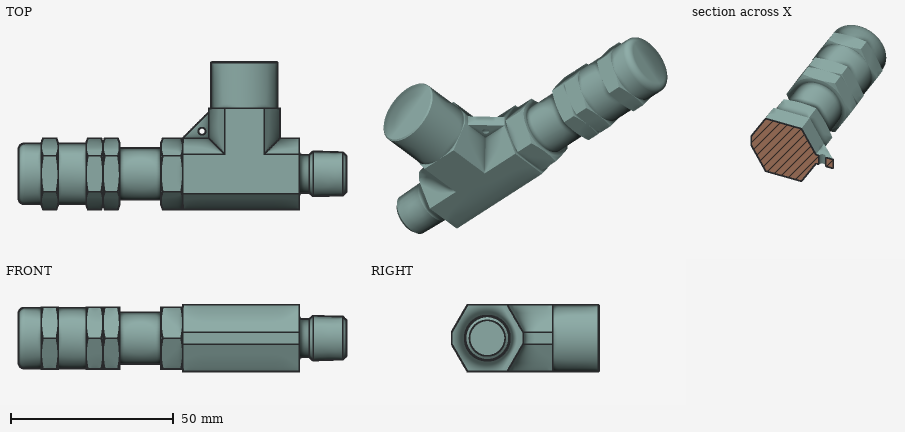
import cadquery as cq
import math


bar_height = 20.6
bar_width = 21.94
bar_flat = 12.15
run_start_x = -18.9
run_end_x = 16.9
branch_hex_end_y = 20.1

socket_diameter = bar_height
socket_end_y = 34.43
socket_chamfer = 0.4

web_hole_diameter = 2.1
web_hole_from_branch = 2.05
web_hole_from_run = 2.1

neck_diameter = 11.85
neck_fillet = 0.6
neck_length = 3.0
taper_start_diameter = 13.9
taper_ratio = 1 / 16
taper_lead_in = 1.2
taper_length = 9.1
taper_end_chamfer = 1.2

nut_across_flats = 19.0
nut_chamfer_angle = 20.0
base_nut_width = 6.7
tube_length = 12.7
tube_diameter = 16.0
lock_nut_width = 5.1
cap_nut_width = 5.2
cap_diameter = 18.8
cap_length = 26.0
cap_edge_radius = 2.0
front_nut_setback = 7.05

flank_run = (bar_width - bar_flat) / 2
side_flat_half = bar_height / 2 - flank_run * math.tan(math.radians(60))
bar_half_width = bar_width / 2
web_leg = -run_start_x - bar_half_width
base_nut_start_x = run_start_x - base_nut_width
lock_nut_end_x = base_nut_start_x - tube_length
lock_nut_start_x = lock_nut_end_x - lock_nut_width
cap_start_x = lock_nut_start_x - cap_length


def bar(plane, length):
    """Hexagonal bar with cut side corners, extruded along the plane normal."""
    half_flat = bar_flat / 2
    half_height = bar_height / 2
    outline = [
        (half_flat, half_height),
        (bar_half_width, side_flat_half),
        (bar_half_width, -side_flat_half),
        (half_flat, -half_height),
        (-half_flat, -half_height),
        (-bar_half_width, -side_flat_half),
        (-bar_half_width, side_flat_half),
        (-half_flat, half_height),
    ]
    return cq.Workplane(plane).polyline(outline).close().extrude(length)


def plane_across_x(x):
    """Plane at x, facing +X, with its own x direction along Y."""
    return cq.Plane(origin=(x, 0, 0), xDir=(0, 1, 0), normal=(1, 0, 0))


def rod(start_x, length, diameter):
    return cq.Workplane(plane_across_x(start_x)).circle(diameter / 2).extrude(length)


def nut(start_x, width):
    """Hexagon with corners on the Y axis, its corners bevelled at both ends."""
    face_radius = nut_across_flats / 2
    corner_radius = face_radius / math.cos(math.radians(30))
    bevel = (corner_radius - face_radius) * math.tan(math.radians(nut_chamfer_angle))
    end_x = start_x + width
    hexagon = cq.Workplane(plane_across_x(start_x)).polygon(6, 2 * corner_radius).extrude(width)
    envelope = (
        cq.Workplane("XY")
        .moveTo(start_x, 0)
        .lineTo(start_x, -face_radius)
        .lineTo(start_x + bevel, -corner_radius)
        .lineTo(end_x - bevel, -corner_radius)
        .lineTo(end_x, -face_radius)
        .lineTo(end_x, 0)
        .close()
        .revolve(360, (0, 0, 0), (1, 0, 0))
    )
    return hexagon.intersect(envelope)


def make_male_end():
    """Neck flared into the run, then the tapered thread cone with bevelled ends."""
    neck_radius = neck_diameter / 2
    neck_end_x = run_end_x + neck_length
    taper_start_x = neck_end_x + taper_lead_in
    taper_end_x = taper_start_x + taper_length
    taper_start_radius = taper_start_diameter / 2
    taper_end_radius = taper_start_radius - taper_length * taper_ratio / 2
    tip_x = taper_end_x + taper_end_chamfer
    flare_middle = neck_fillet * (1 - math.sqrt(0.5))
    return (
        cq.Workplane("XY")
        .moveTo(run_end_x, 0)
        .lineTo(run_end_x, -neck_radius - neck_fillet)
        .threePointArc(
            (run_end_x + flare_middle, -neck_radius - flare_middle),
            (run_end_x + neck_fillet, -neck_radius),
        )
        .lineTo(neck_end_x, -neck_radius)
        .lineTo(taper_start_x, -taper_start_radius)
        .lineTo(taper_end_x, -taper_end_radius)
        .lineTo(tip_x, -taper_end_radius + taper_end_chamfer)
        .lineTo(tip_x, 0)
        .close()
        .revolve(360, (0, 0, 0), (1, 0, 0))
    )


def make_branch():
    """Hexagonal bar from the run axis, ending in the round socket."""
    branch_plane = cq.Plane(origin=(0, 0, 0), xDir=(-1, 0, 0), normal=(0, 1, 0))
    socket_length = socket_end_y - branch_hex_end_y
    socket = (
        cq.Workplane(branch_plane)
        .workplane(offset=branch_hex_end_y)
        .circle(socket_diameter / 2)
        .extrude(socket_length)
        .faces(">Y")
        .chamfer(socket_chamfer)
    )
    return bar(branch_plane, branch_hex_end_y).union(socket)


def make_web():
    """Triangular web, as thick as the side flats of the bars, with a small through hole."""
    corner_x = -bar_half_width
    corner_y = bar_half_width
    thickness = 2 * side_flat_half
    return (
        cq.Workplane("XY", origin=(corner_x, corner_y, -side_flat_half))
        .polyline([(0, 0), (-web_leg, 0), (0, web_leg)])
        .close()
        .extrude(thickness)
        .faces(">Z")
        .workplane(origin=(corner_x, corner_y, 0))
        .center(-web_hole_from_branch, web_hole_from_run)
        .hole(web_hole_diameter)
    )


def make_tee():
    run = bar(plane_across_x(run_start_x), run_end_x - run_start_x)
    return run.union(make_male_end()).union(make_web()).union(make_branch(), clean=False)


def make_adapter():
    """Tube with a base nut against the tee and a lock nut against the cap."""
    tube = rod(lock_nut_end_x, tube_length, tube_diameter)
    lock_nut = nut(lock_nut_start_x, lock_nut_width)
    base_nut = nut(base_nut_start_x, base_nut_width)
    return tube.union(lock_nut).union(base_nut)


def make_cap():
    """Round cap with a rounded closed end and two hexagons."""
    barrel = rod(cap_start_x, cap_length, cap_diameter).faces("<X").edges().fillet(cap_edge_radius)
    front_nut = nut(cap_start_x + front_nut_setback, cap_nut_width)
    rear_nut = nut(lock_nut_start_x - cap_nut_width, cap_nut_width)
    return barrel.union(front_nut).union(rear_nut)


tee = make_tee()
adapter = make_adapter()
cap = make_cap()

result = cq.Compound.makeCompound([body.solids().val() for body in (tee, adapter, cap)])